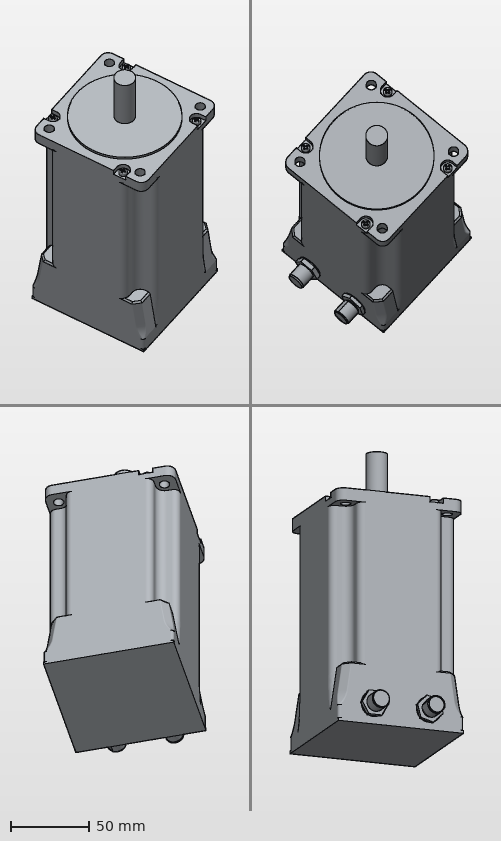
import cadquery as cq
import math

total_height = 192.0
side = 85.9
half = side / 2

flange_bottom = 146.7
flange_top = 155.0
flange_corner_radius = 5.5
mount_hole_diameter = 6.5
mount_hole_inset = 8.0

pilot_diameter = 73.4
pilot_height = 1.7
shaft_diameter = 14.0

groove_size = 14.0
groove_mouth_radius = 4.5

lug_top = 40.1
lug_bottom = 10.8
lug_top_inset = groove_mouth_radius
lug_corner_chamfer = 4.6
lug_flare_top = 20.5
lug_rim_chamfer = 1.2
lug_edge_radius = 1.2
lug_rounding_sections = 5

base_corner_radius = 2.0
base_plate_height = 2.0

screw_along = 18.5
screw_inset = 4.0
screw_pocket_diameter = 9.2
screw_pocket_depth = 3.5
screw_head_diameter = 5.5
screw_head_height = 2.5
screw_head_edge_radius = 1.0
screw_cross_length = 3.3
screw_cross_width = 1.0
screw_cross_depth = 1.2

connector_height = 13.3
connector_spacing = 38.0
connector_diameter = 12.0
hex_across_corners = 18.2
seat_diameter = 16.7


def at_all_corners(shape):
    """Mirror a shape made at the -X -Y corner to all four corners."""
    pair = shape.union(shape.mirror("YZ"))
    return pair.union(pair.mirror("XZ"))


def corner_plane(z):
    """Horizontal plane with its origin on the -X -Y corner, x and y running inward."""
    return cq.Workplane("XY", origin=(-half, -half, z))


def corner_groove():
    mouth = groove_size + groove_mouth_radius
    mouth_mid = groove_mouth_radius * (1 - math.sqrt(0.5))
    bolt_mid = mount_hole_inset + (groove_size - mount_hole_inset) * math.sqrt(0.5)
    return (
        corner_plane(lug_bottom)
        .lineTo(mouth, 0)
        .threePointArc((groove_size + mouth_mid, mouth_mid), (groove_size, groove_mouth_radius))
        .lineTo(groove_size, mount_hole_inset)
        .threePointArc((bolt_mid, bolt_mid), (mount_hole_inset, groove_size))
        .lineTo(groove_mouth_radius, groove_size)
        .threePointArc((mouth_mid, groove_size + mouth_mid), (0, mouth))
        .close()
        .extrude(flange_bottom - lug_bottom)
    )


def lug_inset(z):
    """Set-back of the sloped lug face from the side of the base at height z."""
    return lug_top_inset * (z - lug_bottom) / (lug_top - lug_bottom)


def lug_chamfer_distance(z):
    """Distance of the chamfer face from the corner, along the diagonal."""
    return (lug_inset(z) + lug_corner_chamfer) * math.sqrt(0.5)


def lug_block():
    """Sloped block with its corner chamfer, as wide as the groove along Y."""
    length = groove_size + groove_mouth_radius
    block = (
        cq.Workplane("XZ", origin=(-half, -half, 0))
        .polyline([(0, lug_bottom), (length, lug_bottom), (length, lug_top), (lug_top_inset, lug_top)])
        .close()
        .extrude(-groove_size)
    )
    corner_distance = base_corner_radius * (math.sqrt(2) - 1)
    diagonal = cq.Plane(origin=(-half, -half, 0), xDir=(1, 1, 0), normal=(1, -1, 0))
    chamfer_cut = (
        cq.Workplane(diagonal)
        .moveTo(-length, lug_top)
        .lineTo(lug_chamfer_distance(lug_top), lug_top)
        .lineTo(lug_chamfer_distance(lug_flare_top), lug_flare_top)
        .tangentArcPoint((corner_distance, lug_bottom), relative=False)
        .lineTo(-length, lug_bottom)
        .close()
        .extrude(length, both=True)
    )
    block = block.cut(chamfer_cut)

    block = block.faces(">Z").edges("not (>X or >Y)").chamfer(lug_rim_chamfer)
    long_edges = cq.selectors.BoxSelector(
        (-half - 2, -half - 2, lug_flare_top),
        (-half + length / 2, -half + length / 2, lug_top - lug_rim_chamfer),
    )
    return block.edges(long_edges).fillet(lug_edge_radius)


def lug_side_rounding():
    """Cutter that rounds the wall beside the sloped face into the side of the base.

    The rounding keeps one radius, so it narrows as the sloped face gets shallower.
    """
    radius = groove_mouth_radius
    sections = []
    for step in range(1, lug_rounding_sections + 1):
        share = (step / lug_rounding_sections) ** 2
        z = lug_bottom + share * (lug_top - lug_bottom)
        depth = lug_inset(z)
        width = math.sqrt(depth * (2 * radius - depth))
        half_angle = math.asin(width / radius) / 2
        arc_mid = (
            radius * (1 - math.cos(half_angle)),
            groove_size + width - radius * math.sin(half_angle),
        )
        section = (
            corner_plane(z)
            .moveTo(0, groove_size)
            .lineTo(depth, groove_size)
            .threePointArc(arc_mid, (0, groove_size + width))
            .close()
        )
        sections.append(section.val())
    return cq.Workplane(cq.Solid.makeLoft(sections))


def corner_lug():
    shoulder = (
        corner_plane(lug_bottom)
        .center(0, groove_size)
        .rect(groove_size + groove_mouth_radius, groove_mouth_radius, centered=False)
        .extrude(lug_top - lug_bottom)
        .cut(lug_side_rounding())
    )
    return lug_block().union(shoulder)


def motor_body():
    plate = cq.Workplane("XY").rect(side, side).extrude(base_plate_height)
    base = (
        cq.Workplane("XY", origin=(0, 0, base_plate_height))
        .rect(side, side)
        .extrude(lug_bottom - base_plate_height)
        .edges("|Z")
        .fillet(base_corner_radius)
    )
    grooved = (
        cq.Workplane("XY", origin=(0, 0, lug_bottom))
        .rect(side, side)
        .extrude(flange_bottom - lug_bottom)
        .cut(at_all_corners(corner_groove()))
    )
    return plate.union(base).union(grooved).union(at_all_corners(corner_lug()))


def flange():
    hole_spacing = side - 2 * mount_hole_inset
    return (
        cq.Workplane("XY", origin=(0, 0, flange_bottom))
        .rect(side, side)
        .extrude(flange_top - flange_bottom)
        .edges("|Z")
        .fillet(flange_corner_radius)
        .faces(">Z")
        .workplane()
        .rect(hole_spacing, hole_spacing, forConstruction=True)
        .vertices()
        .hole(mount_hole_diameter)
    )


def pilot_and_shaft():
    flange_face = cq.Workplane("XY", origin=(0, 0, flange_top))
    pilot = flange_face.circle(pilot_diameter / 2).extrude(pilot_height)
    shaft = flange_face.circle(shaft_diameter / 2).extrude(total_height - flange_top)
    return pilot.union(shaft)


def screw_pocket_floor():
    return cq.Workplane(
        "XY",
        origin=(screw_along - half, half - screw_inset, flange_top - screw_pocket_depth),
    )


def screw_pocket():
    """U-shaped pocket open to the +Y side of the flange."""
    floor = screw_pocket_floor()
    round_end = floor.circle(screw_pocket_diameter / 2).extrude(screw_pocket_depth)
    mouth = (
        floor.center(0, screw_pocket_diameter / 2)
        .rect(screw_pocket_diameter, screw_pocket_diameter)
        .extrude(screw_pocket_depth)
    )
    return round_end.union(mouth)


def screw_head():
    floor = screw_pocket_floor()
    head = (
        floor.circle(screw_head_diameter / 2)
        .extrude(screw_head_height)
        .faces(">Z")
        .edges()
        .fillet(screw_head_edge_radius)
    )
    cross_floor = floor.workplane(offset=screw_head_height - screw_cross_depth)
    slot = cross_floor.rect(screw_cross_length, screw_cross_width).extrude(screw_cross_depth)
    crossing_slot = cross_floor.rect(screw_cross_width, screw_cross_length).extrude(screw_cross_depth)
    return head.cut(slot).cut(crossing_slot)


def connector_disc(x, start, end, diameter):
    """Disc on a connector axis, placed by its distances from the +Y face."""
    return (
        cq.Workplane("XZ", origin=(x, half + start, connector_height))
        .circle(diameter / 2)
        .extrude(start - end)
    )


def connector_hex(x, start, end, turn):
    return (
        cq.Workplane("XZ", origin=(x, half + start, connector_height))
        .transformed(rotate=(0, 0, turn))
        .polygon(6, hex_across_corners)
        .extrude(start - end)
    )


def left_connector():
    x = -connector_spacing / 2
    hex_start = 0.4
    hex_end = 2.9
    hex_turn = 15
    barrel_start = 3.6
    barrel_end = 13.5
    tip_end = 14.2
    core_diameter = 10.4
    flat_to_flat = 11.0
    flat_turn = 41
    flats = (
        cq.Workplane("XZ", origin=(x, half + barrel_start, connector_height))
        .transformed(rotate=(0, 0, flat_turn))
        .rect(flat_to_flat, 2 * connector_diameter)
        .extrude(barrel_start - barrel_end)
    )
    barrel = connector_disc(x, barrel_start, barrel_end, connector_diameter).intersect(flats)
    return (
        connector_disc(x, 0, hex_start, seat_diameter)
        .union(connector_hex(x, hex_start, hex_end, hex_turn))
        .union(connector_disc(x, hex_end, tip_end, core_diameter))
        .union(barrel)
    )


def right_connector():
    x = connector_spacing / 2
    hex_start = 0.8
    hex_end = 4.0
    barrel_end = 13.5
    tip_end = 14.6
    tip_diameter = 11.0
    return (
        connector_disc(x, 0, hex_start, seat_diameter)
        .union(connector_hex(x, hex_start, hex_end, 0))
        .union(connector_disc(x, hex_end, barrel_end, connector_diameter))
        .union(connector_disc(x, barrel_end, tip_end, tip_diameter))
    )


result = motor_body().union(flange()).union(pilot_and_shaft())
pocket = screw_pocket()
head = screw_head()
for quarter in range(4):
    turn = 90 * quarter
    result = result.cut(pocket.rotate((0, 0, 0), (0, 0, 1), turn))
    result = result.union(head.rotate((0, 0, 0), (0, 0, 1), turn))
result = result.union(left_connector()).union(right_connector())